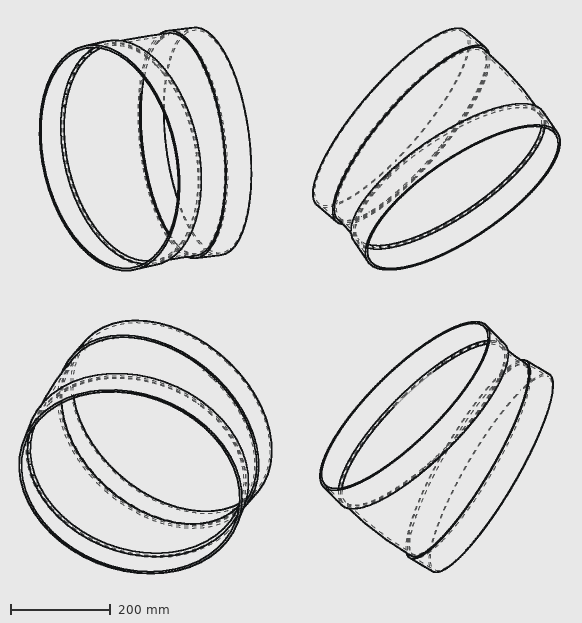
import cadquery as cq
import math

bend_angle = 15.0
bend_radius = 450.0
collar_length = 55.0
collar_outer_diameter = 460.0
pipe_outer_diameter = 450.0
wall = 5.0

socket_radius = collar_outer_diameter / 2 - wall
bore_radius = pipe_outer_diameter / 2 - wall
shoulder_radius = socket_radius - bore_radius
socket_depth = collar_length - shoulder_radius
angle = math.radians(bend_angle)
bend_end_x = bend_radius * (1 - math.cos(angle))
bend_end_y = collar_length + bend_radius * math.sin(angle)

lower_mouth = cq.Plane(origin=(0, 0, 0), xDir=(0, 0, 1), normal=(0, 1, 0))
upper_mouth = cq.Plane(
    origin=(
        bend_end_x + collar_length * math.sin(angle),
        bend_end_y + collar_length * math.cos(angle),
        0,
    ),
    xDir=(0, 0, 1),
    normal=(-math.sin(angle), -math.cos(angle), 0),
)


def make_bend(diameter):
    """Round bar along the curved part of the centreline."""
    start = cq.Plane(origin=(0, collar_length, 0), xDir=(1, 0, 0), normal=(0, 1, 0))
    section = cq.Workplane(start).circle(diameter / 2)
    return section.revolve(bend_angle, (bend_radius, 0, 0), (bend_radius, 1, 0))


def make_collar(mouth):
    """Solid cylinder on the outside of one end."""
    return cq.Workplane(mouth).circle(collar_outer_diameter / 2).extrude(collar_length)


def make_socket(mouth):
    """Hollow of one end: a straight socket that rounds down to the bore over a convex shoulder."""
    arc_offset = shoulder_radius * math.sqrt(0.5)
    shoulder_middle = (socket_radius - arc_offset, collar_length - arc_offset)
    half_section = cq.Plane(origin=mouth.origin, xDir=mouth.xDir, normal=mouth.xDir.cross(mouth.zDir))
    return (
        cq.Workplane(half_section)
        .lineTo(socket_radius, 0)
        .lineTo(socket_radius, socket_depth)
        .threePointArc(shoulder_middle, (bore_radius, collar_length))
        .lineTo(0, collar_length)
        .close()
        .revolve(360, (0, 0, 0), (0, 1, 0))
    )


result = make_bend(pipe_outer_diameter)
hollow = make_bend(2 * bore_radius)
for mouth in (lower_mouth, upper_mouth):
    result = result.union(make_collar(mouth))
    hollow = hollow.union(make_socket(mouth))
result = result.cut(hollow)